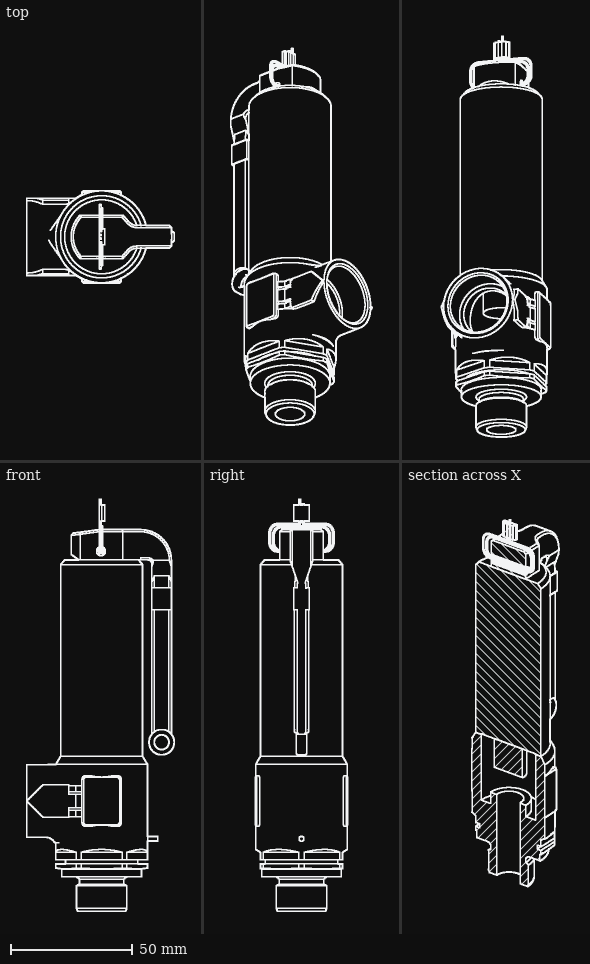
import cadquery as cq
import math

margin = 0.5

thread_d = 20.9
thread_top_z = 10.5
thread_lead = 0.5
thread_runout = 1.25
neck_d = 18.4
neck_bottom_z = 11.3
neck_top_z = 13.3
flange_d = 33.0
flange_bottom_z = 14.3
flange_top_z = 17.5
ring_bottom_z = 17.9
groove_d = 30.0
groove_bottom_z = 19.6
groove_top_z = 21.3
body_d = 38.0
hex_sides = 6
hex_flats = 34.0
hex_flat_top_z = 24.4
hex_slope_top_z = 25.6
branch_base_z = 28.4
shoulder_z = 60.7
housing_top_z = 64.1
inlet_bore_d = 12.1
seat_d = 18.4
seat_top_z = 38.3
cavity_d = 28.0
cavity_floor_z = 33.0

outlet_z = 45.6
outlet_d = 30.0
outlet_face_x = -30.95
outlet_blend_r = 4.0
outlet_mouth_d = 26.2
outlet_socket_d = 24.6
outlet_socket_depth = 13.0
outlet_bore_d = 20.9

plate_width = 16.2
plate_height = 21.0
plate_face_y = 19.1
plate_corner_r = 1.6
plate_bevel = 0.7
arrow_face_y = 16.0
arrow_foot_y = 15.2
arrow_face_height = 7.7
arrow_height = 13.4
arrow_back_x = -13.5
bar_step_x = -10.6
bar_end_y = 17.5
bar_limits = [(-6.4, -3.9), (-2.8, 2.8), (3.9, 6.4)]

bonnet_d = 34.0
bonnet_top_d = 30.6
bonnet_bevel_z = 143.3
bonnet_top_z = 145.2
spindle_d = 14.8
spindle_bottom_z = 50.6

lever_top_z = 157.8
lever_front_top_z = 156.2
head_undercut_z = 147.5
head_undercut_x = -9.5
lever_slope_start_x = -1.0
head_front_r = 12.6
head_back_x = 8.8
head_half_width = 9.0
strap_start_x = 12.6
strap_blend_r = 4.5
strap_half_width = 4.7
arm_inner_x = 20.7
arm_outer_x = 28.9
bend_r = 12.8
inner_bend_r = 1.5
arm_waist_z = 138.6
arm_waist_half = 2.5
arm_full_z = 133.7
arm_half = 2.9
arm_edge_bevel = 1.1
head_edge_bevel = 0.9
badge_bottom_z = 124.7
badge_half = 3.2
eye_d = 10.5
eye_hole_d = 6.0
eye_width = 4.5
eye_round = 1.0
eye_z = 69.9

bush_d = 3.7
bush_hole_d = 2.0
bush_x = -0.25
bush_z = 148.8
wire_d = 0.7
strand_pitch = 0.6
outer_loop_half = 13.1
outer_loop_top_z = 160.0
inner_loop_half = 11.6
inner_loop_top_z = 158.95
loop_corner_r = 3.5
leg_y = 0.75
leg_bend_r = 0.6
long_leg_top_z = 170.3
short_leg_top_z = 168.5
seal_bottom_z = 161.3
seal_top_z = 168.0
seal_half_width = 3.3
seal_back_x = 1.4
seal_front_x = 0.1
seal_pad_x = -1.05
seal_pad_half = 2.2

pin_d = 2.0
pin_z = 30.0
pin_inner_x = 16.0
pin_outer_x = 23.3


def rod(diameter, axis, start, length):
    """Cylinder that begins at a point and runs along an axis direction."""
    return cq.Workplane(cq.Solid.makeCylinder(diameter / 2, length, cq.Vector(*start), cq.Vector(*axis)))


def box(x_range, y_range, z_range):
    """Block given by its limits along each axis."""
    low, high = zip(x_range, y_range, z_range)
    size = [b - a for a, b in zip(low, high)]
    return cq.Workplane().box(*size, centered=False).translate(low)


def turned_lower_end():
    """Threaded inlet, undercut neck, flange, grooved hexagon and lowest part of the body."""
    thread_r = thread_d / 2
    neck_r = neck_d / 2
    flange_r = flange_d / 2
    groove_r = groove_d / 2
    body_r = body_d / 2
    profile = [
        (0, 0),
        (thread_r - thread_lead, 0),
        (thread_r, thread_runout),
        (thread_r, thread_top_z),
        (neck_r, neck_bottom_z),
        (neck_r, neck_top_z),
        (thread_r, flange_bottom_z),
        (flange_r, flange_bottom_z),
        (flange_r, flange_top_z),
        (body_r, ring_bottom_z),
        (body_r, groove_bottom_z),
        (groove_r, groove_bottom_z),
        (groove_r, groove_top_z),
        (body_r, groove_top_z),
        (body_r, branch_base_z),
        (0, branch_base_z),
    ]
    return cq.Workplane("XZ").polyline(profile).close().revolve(360, (0, 0), (0, 1))


def hexagon_cutter(angle):
    """Removes one wrench flat; its top end slopes outward."""
    flat_r = hex_flats / 2
    outside_r = body_d / 2
    profile = [
        (flat_r, flange_top_z),
        (outside_r + margin, flange_top_z),
        (outside_r + margin, hex_slope_top_z),
        (outside_r, hex_slope_top_z),
        (flat_r, hex_flat_top_z),
    ]
    cutter = cq.Workplane("YZ").polyline(profile).close().extrude(body_d / 2, both=True)
    return cutter.rotate((0, 0, 0), (0, 0, 1), angle)


def upper_body():
    """Round body with the outlet branch blended into it and a conical shoulder."""
    blend_room = 3 * outlet_blend_r
    barrel = rod(body_d, (0, 0, 1), (0, 0, branch_base_z - blend_room),
                 housing_top_z - branch_base_z + 2 * blend_room)
    branch = rod(outlet_d, (1, 0, 0), (outlet_face_x, 0, outlet_z), -outlet_face_x)
    body = barrel.union(branch)
    seam = cq.selectors.BoxSelector((-body_d / 2 - margin, -outlet_d, 0), (-margin, outlet_d, 2 * outlet_z))
    body = body.edges(seam).edges("not %CIRCLE").edges("not %LINE").fillet(outlet_blend_r)
    clear_r = body_d
    shoulder = [
        (bonnet_d / 2, housing_top_z + 2 * blend_room),
        (bonnet_d / 2, housing_top_z),
        (body_d / 2, shoulder_z),
        (clear_r, shoulder_z),
        (clear_r, housing_top_z + 2 * blend_room),
    ]
    above = cq.Workplane("XZ").polyline(shoulder).close().revolve(360, (0, 0), (0, 1))
    body = body.cut(above)
    keep = box((-clear_r, clear_r), (-clear_r, clear_r), (branch_base_z, housing_top_z))
    return body.intersect(keep)


def nameplate():
    """Bevelled plate on the -Y side of the body."""
    plate = cq.Workplane("XZ").center(0, outlet_z).rect(plate_width, plate_height)
    plate = plate.extrude(plate_face_y).edges("|Y").fillet(plate_corner_r)
    return plate.faces("<Y").edges().chamfer(plate_bevel)


def direction_arrow():
    """Arrow with bevelled flanks on the -Y side of the branch, pointing out of the outlet."""
    half = arrow_height / 2
    face_half = arrow_face_height / 2
    section = [(0, -half), (-arrow_foot_y, -half), (-arrow_face_y, -face_half),
               (-arrow_face_y, face_half), (-arrow_foot_y, half), (0, half)]
    bar = cq.Workplane("YZ").polyline(section).close().extrude(arrow_back_x - outlet_face_x)
    bar = bar.translate((outlet_face_x, 0, outlet_z))
    outline = [(outlet_face_x, outlet_z), (outlet_face_x + half, outlet_z + half), (0, outlet_z + half),
               (0, outlet_z - half), (outlet_face_x + half, outlet_z - half)]
    return bar.intersect(cq.Workplane("XZ").polyline(outline).close().extrude(plate_face_y))


def linking_bars():
    """Bars from the arrow to the nameplate on the -Y side, rising with the body."""
    plan = [(arrow_back_x, 0), (arrow_back_x, -arrow_face_y), (bar_step_x, -arrow_face_y),
            (-plate_width / 2, -bar_end_y), (-plate_width / 2, 0)]
    bars = cq.Workplane("XY")
    for low, high in bar_limits:
        bar = cq.Workplane("XY").polyline(plan).close().extrude(high - low)
        bars = bars.union(bar.translate((0, 0, outlet_z + low)))
    return bars


def inner_passages():
    """Cavity around the raised seat, inlet bore and stepped outlet bore."""
    cavity = rod(cavity_d, (0, 0, 1), (0, 0, cavity_floor_z), housing_top_z - cavity_floor_z)
    cavity = cavity.cut(rod(seat_d, (0, 0, 1), (0, 0, cavity_floor_z), seat_top_z - cavity_floor_z))
    inlet = rod(inlet_bore_d, (0, 0, 1), (0, 0, 0), seat_top_z)
    mouth_depth = (outlet_mouth_d - outlet_socket_d) / 2
    socket_x = outlet_face_x + outlet_socket_depth
    cavity_x = -math.sqrt(cavity_d ** 2 - outlet_bore_d ** 2) / 2
    outlet = [
        (outlet_face_x, 0),
        (outlet_face_x, outlet_mouth_d / 2),
        (outlet_face_x + mouth_depth, outlet_socket_d / 2),
        (socket_x, outlet_socket_d / 2),
        (socket_x, outlet_bore_d / 2),
        (cavity_x, outlet_bore_d / 2),
        (cavity_x, 0),
    ]
    port = cq.Workplane("XY").polyline(outlet).close().revolve(360, (0, 0), (1, 0))
    return cavity.union(inlet).union(port.translate((0, 0, outlet_z)))


def make_lock_pin():
    """Round pin set into the housing wall."""
    return rod(pin_d, (1, 0, 0), (pin_inner_x, 0, pin_z), pin_outer_x - pin_inner_x)


def make_housing():
    """Housing with its wrench flats, raised side features, passages and pin hole."""
    housing = turned_lower_end()
    for side in range(hex_sides):
        housing = housing.cut(hexagon_cutter(side * 360 / hex_sides))
    housing = housing.union(upper_body())
    for raised in (nameplate(), direction_arrow(), linking_bars()):
        housing = housing.union(raised).union(raised.mirror("XZ"))
    return housing.cut(inner_passages()).cut(make_lock_pin())


def make_bonnet():
    """Cylindrical bonnet with a bevelled top."""
    bevel_r = (bonnet_d - bonnet_top_d) / 2
    bonnet = rod(bonnet_d, (0, 0, 1), (0, 0, housing_top_z), bonnet_top_z - housing_top_z)
    return bonnet.faces(">Z").chamfer(bonnet_top_z - bonnet_bevel_z, bevel_r)


def make_spindle():
    """Spindle hanging from the bonnet into the housing cavity."""
    return rod(spindle_d, (0, 0, 1), (0, 0, spindle_bottom_z), housing_top_z - spindle_bottom_z)


def lever_head():
    """Head with an arched front, sloping top and a strap leading to the bend."""
    bend_x = arm_outer_x - bend_r
    corner_x = -math.sqrt(head_front_r ** 2 - head_half_width ** 2)
    head = (
        cq.Workplane("XY").workplane(offset=bonnet_top_z)
        .moveTo(corner_x, -head_half_width)
        .threePointArc((-head_front_r, 0), (corner_x, head_half_width))
        .lineTo(head_back_x, head_half_width)
        .lineTo(strap_start_x, strap_half_width)
        .lineTo(bend_x, strap_half_width)
        .lineTo(bend_x, -strap_half_width)
        .lineTo(strap_start_x, -strap_half_width)
        .lineTo(head_back_x, -head_half_width)
        .close()
        .extrude(lever_top_z - bonnet_top_z)
    )
    strap_roots = cq.selectors.BoxSelector((head_back_x + margin, -head_half_width, 0),
                                           (bend_x - margin, head_half_width, lever_top_z))
    head = head.edges("|Z").edges(strap_roots).fillet(strap_blend_r)
    slope = [(lever_slope_start_x, lever_top_z), (-head_front_r, lever_front_top_z),
             (-head_front_r, lever_top_z)]
    undercut = [(-head_front_r, head_undercut_z), (head_undercut_x, bonnet_top_z),
                (-head_front_r, bonnet_top_z)]
    head = head.cut(cq.Workplane("XZ").polyline(slope).close().extrude(head_half_width, both=True))
    upper = cq.selectors.BoxSelector((-head_front_r, -head_half_width - margin, lever_front_top_z - margin),
                                     (bend_x, head_half_width + margin, lever_top_z + margin))
    head = head.edges(upper).edges("not(|Y or |Z)").chamfer(head_edge_bevel)
    return head.cut(cq.Workplane("XZ").polyline(undercut).close().extrude(head_half_width, both=True))


def lever_arm():
    """Bend and hanging arm: a side profile narrowed in width towards a waist."""
    bend_x = arm_outer_x - bend_r
    bend_z = lever_top_z - bend_r
    mid = bend_r * math.sqrt(0.5)
    side = (
        cq.Workplane("XZ")
        .moveTo(bend_x, lever_top_z)
        .threePointArc((bend_x + mid, bend_z + mid), (arm_outer_x, bend_z))
        .lineTo(arm_outer_x, eye_z)
        .lineTo(arm_inner_x, eye_z)
        .lineTo(arm_inner_x, bonnet_top_z - inner_bend_r)
        .radiusArc((arm_inner_x - inner_bend_r, bonnet_top_z), -inner_bend_r)
        .lineTo(bend_x, bonnet_top_z)
        .close()
        .extrude(strap_half_width, both=True)
    )
    bend_edges = cq.selectors.BoxSelector((bend_x + margin, -head_half_width, eye_z + margin),
                                          (arm_outer_x + margin, head_half_width, lever_top_z))
    side = side.faces("<Y or >Y").edges(bend_edges).chamfer(head_edge_bevel)
    half_outline = [(strap_half_width, lever_top_z), (strap_half_width, bend_z),
                    (arm_waist_half, arm_waist_z), (arm_half, arm_full_z), (arm_half, eye_z)]
    mirrored = [(-y, z) for y, z in reversed(half_outline)]
    width = cq.Workplane("YZ").polyline(half_outline + mirrored).close().extrude(arm_outer_x)
    arm = side.intersect(width)
    long_edges = cq.selectors.BoxSelector((0, -arm_half - margin, eye_z + margin),
                                          (arm_outer_x + margin, arm_half + margin, arm_full_z - margin))
    return arm.edges(long_edges).edges("|Z").chamfer(arm_edge_bevel)


def make_lever():
    """Lever with a raised badge on its arm and a rounded eye at the lower end."""
    lever = lever_head().union(lever_arm())
    badge = box((arm_inner_x, arm_outer_x), (-badge_half, badge_half), (badge_bottom_z, arm_full_z))
    lever = lever.union(badge)
    eye_x = (arm_inner_x + arm_outer_x) / 2
    lever = lever.cut(rod(eye_d, (0, 1, 0), (eye_x, -eye_d, eye_z), 2 * eye_d))
    eye = rod(eye_d, (0, 1, 0), (eye_x, -eye_width / 2, eye_z), eye_width)
    eye = eye.cut(rod(eye_hole_d, (0, 1, 0), (eye_x, -eye_width, eye_z), 2 * eye_width))
    eye = eye.edges().fillet(eye_round)
    lever = lever.union(eye)
    return lever.cut(rod(bush_d, (0, 1, 0), (bush_x, -head_half_width, bush_z), 2 * head_half_width))


def make_bush():
    """Tube across the lever head that guides the sealing wire."""
    start = (bush_x, -head_half_width, bush_z)
    bush = rod(bush_d, (0, 1, 0), start, 2 * head_half_width)
    return bush.cut(rod(bush_hole_d, (0, 1, 0), start, 2 * head_half_width))


def inner_strand(x):
    """Closed rounded loop through the bush and over the lever head."""
    side_y = inner_loop_half
    bend_y = side_y - loop_corner_r
    top_z = inner_loop_top_z
    path = (
        cq.Workplane("YZ", origin=(x, 0, 0))
        .moveTo(0, bush_z)
        .lineTo(bend_y, bush_z)
        .radiusArc((side_y, bush_z + loop_corner_r), -loop_corner_r)
        .lineTo(side_y, top_z - loop_corner_r)
        .radiusArc((bend_y, top_z), -loop_corner_r)
        .lineTo(-bend_y, top_z)
        .radiusArc((-side_y, top_z - loop_corner_r), -loop_corner_r)
        .lineTo(-side_y, bush_z + loop_corner_r)
        .radiusArc((-bend_y, bush_z), -loop_corner_r)
        .close()
    )
    return cq.Workplane("XZ", origin=(x, 0, bush_z)).circle(wire_d / 2).sweep(path)


def outer_strand(x):
    """Loop through the bush whose two ends turn up above the lever as legs."""
    side_y = outer_loop_half
    bend_y = side_y - loop_corner_r
    top_z = outer_loop_top_z
    path = (
        cq.Workplane("YZ", origin=(x, 0, 0))
        .moveTo(-leg_y, long_leg_top_z)
        .lineTo(-leg_y, top_z + leg_bend_r)
        .radiusArc((-leg_y - leg_bend_r, top_z), leg_bend_r)
        .lineTo(-bend_y, top_z)
        .radiusArc((-side_y, top_z - loop_corner_r), -loop_corner_r)
        .lineTo(-side_y, bush_z + loop_corner_r)
        .radiusArc((-bend_y, bush_z), -loop_corner_r)
        .lineTo(bend_y, bush_z)
        .radiusArc((side_y, bush_z + loop_corner_r), -loop_corner_r)
        .lineTo(side_y, top_z - loop_corner_r)
        .radiusArc((bend_y, top_z), -loop_corner_r)
        .lineTo(leg_y + leg_bend_r, top_z)
        .radiusArc((leg_y, top_z + leg_bend_r), leg_bend_r)
        .lineTo(leg_y, short_leg_top_z)
    )
    return cq.Workplane("XY", origin=(x, -leg_y, long_leg_top_z)).circle(wire_d / 2).sweep(path)


def make_wire():
    """Two strands side by side, joined where they run through the bush."""
    half_pitch = strand_pitch / 2
    return outer_strand(bush_x - half_pitch).union(inner_strand(bush_x + half_pitch))


def make_seal(wire):
    """Flat seal with a raised pad, holding both legs of the wire."""
    heights = (seal_bottom_z, seal_top_z)
    seal = box((seal_front_x, seal_back_x), (-seal_half_width, seal_half_width), heights)
    seal = seal.union(box((seal_pad_x, seal_front_x), (-seal_pad_half, seal_pad_half), heights))
    return seal.cut(wire)


housing = make_housing()
bonnet = make_bonnet()
spindle = make_spindle()
lever = make_lever()
bush = make_bush()
wire = make_wire()
seal = make_seal(wire)
lock_pin = make_lock_pin()

bodies = [housing, bonnet, spindle, lever, bush, wire, seal, lock_pin]
result = cq.Compound.makeCompound([body.solids().val() for body in bodies])